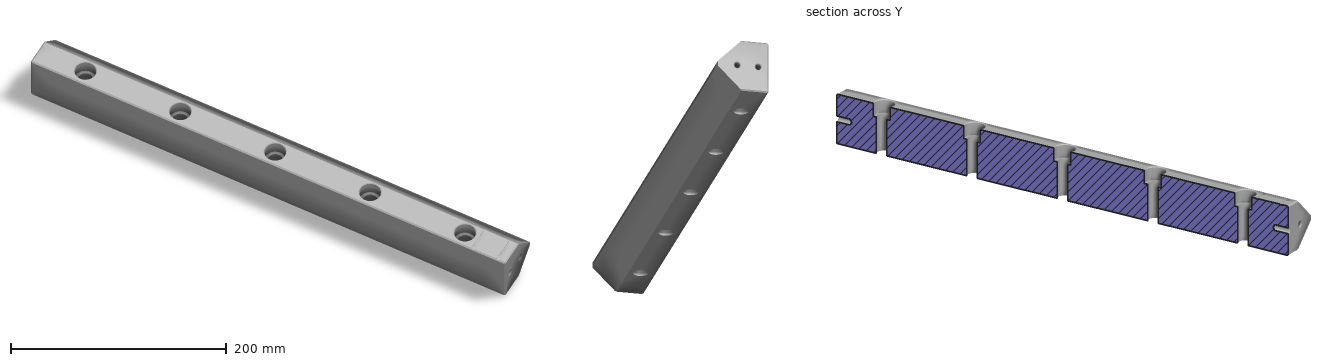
import cadquery as cq
import math

length = 500.0
depth = 48.5
height = 50.0
shoulder_y = 26.0
nose_height = height - 2 * (depth - shoulder_y)
edge_chamfer = 1.25

bolt_count = 5
bolt_pitch = length / bolt_count
bolt_y = 14.5
bolt_diameter = 14.0
counterbore_diameter = 20.0
counterbore_depth = 13.0
counterbore_chamfer = 0.75

end_hole_places = (10.0, 30.0)
end_hole_diameter = 5.5
end_hole_depth = 15.0
end_countersink_diameter = 7.0
drill_point_angle = 118.0

groove_width = 3.0
groove_depth = 0.5
groove_end_distances = (8.0, 34.5)


def bar():
    outline = [
        (0, 0),
        (shoulder_y, 0),
        (depth, (height - nose_height) / 2),
        (depth, (height + nose_height) / 2),
        (shoulder_y, height),
        (0, height),
    ]
    body = cq.Workplane("YZ").polyline(outline).close().extrude(length)
    return body.edges("<Y or ((<Z or >Z) and |Y)").chamfer(edge_chamfer)


def bolt_hole(x):
    """Through hole with a chamfered counterbore opening in the top face."""
    top = cq.Workplane("XY", origin=(x, bolt_y, height))
    shank = top.circle(bolt_diameter / 2).extrude(-height)
    head = top.circle(counterbore_diameter / 2).extrude(-counterbore_depth)
    mouth_radius = counterbore_diameter / 2 + counterbore_chamfer
    mouth = top.circle(mouth_radius).extrude(-counterbore_chamfer, taper=45)
    return shank.union(head).union(mouth)


def end_hole(y):
    """Countersunk blind hole with a conical bottom, entering from X = 0."""
    radius = end_hole_diameter / 2
    mouth_radius = end_countersink_diameter / 2
    point_length = radius / math.tan(math.radians(drill_point_angle / 2))
    profile = [
        (0, 0),
        (end_hole_depth + point_length, 0),
        (end_hole_depth, radius),
        (mouth_radius - radius, radius),
        (0, mouth_radius),
    ]
    axis = cq.Workplane("XY", origin=(0, y, height / 2))
    return axis.polyline(profile).close().revolve(360, (0, 0, 0), (1, 0, 0))


def cross_groove(x):
    """Rectangular groove across the whole top face."""
    top = cq.Workplane("XY", origin=(x, depth / 2, height))
    return top.rect(groove_width, depth).extrude(-groove_depth)


result = bar()

for index in range(bolt_count):
    result = result.cut(bolt_hole((index + 0.5) * bolt_pitch))

for y in end_hole_places:
    left_hole = end_hole(y)
    right_hole = left_hole.mirror("YZ").translate((length, 0, 0))
    result = result.cut(left_hole).cut(right_hole)

for distance in groove_end_distances:
    result = result.cut(cross_groove(length - distance))